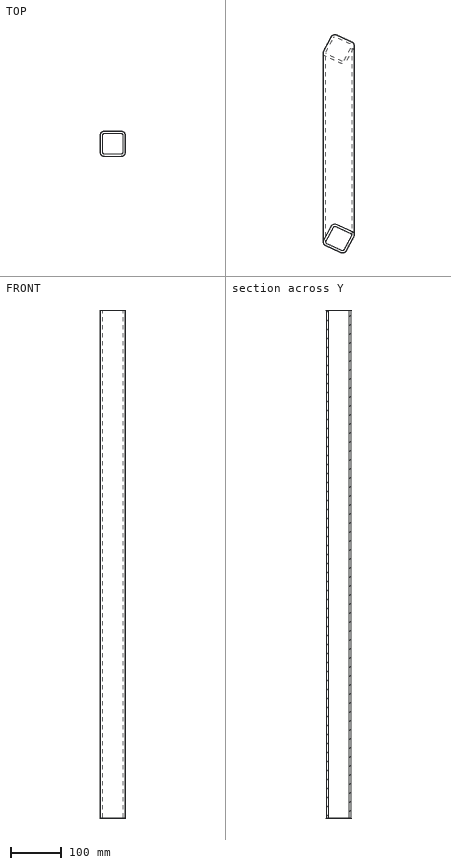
import cadquery as cq

length = 1000.0
width = 50.0
wall = 5.0
outer_radius = 8.5
inner_radius = outer_radius - wall


def rounded_square_bar(side, radius):
    """Square bar with its long edges rounded, standing on the XY plane."""
    return cq.Workplane("XY").rect(side, side).extrude(length).edges("|Z").fillet(radius)


outside = rounded_square_bar(width, outer_radius)
bore = rounded_square_bar(width - 2 * wall, inner_radius)

result = outside.cut(bore)